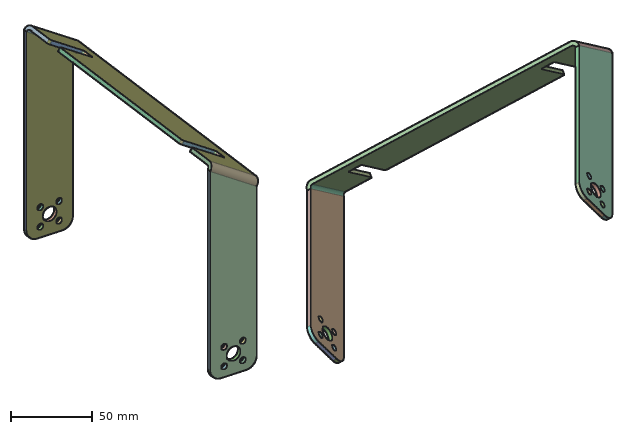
import cadquery as cq
import math

length = 209.1
height = 153.7
leg_width = 34.3

thickness = 3.0
outer_bend = 5.0
inner_bend = outer_bend - thickness
slope_angle = 32.0
slope = math.radians(slope_angle)
web_width = leg_width / math.cos(slope)

bend_line_front = height - outer_bend * math.cos(slope)
bend_line_back = bend_line_front - leg_width * math.tan(slope)
leg_corner_radius = 8.0

hole_center_y = leg_width / 2
hole_center_z = 14.6
center_hole_diameter = 10.0
screw_hole_diameter = 4.2
screw_spacing = 13.8

slot_width = 10.0
slot_depth = 29.3
slot_center_x = 74.0
slot_mouth_radius = 1.5
slot_inner_radius = 1.0


def make_leg(outer_x):
    """Upright leg with a sloping top, reaching inward (+X) from outer_x."""
    blank = (
        cq.Workplane("YZ", origin=(outer_x, 0, 0))
        .polyline([(0, 0), (leg_width, 0), (leg_width, bend_line_back), (0, bend_line_front)])
        .close()
        .extrude(thickness)
    )
    blank = blank.edges("|X and (<Z)").fillet(leg_corner_radius)
    holes = cq.Workplane("YZ", origin=(outer_x, hole_center_y, hole_center_z))
    center_hole = holes.circle(center_hole_diameter / 2).extrude(thickness)
    screw_holes = (
        holes.rect(screw_spacing, screw_spacing, forConstruction=True)
        .vertices()
        .circle(screw_hole_diameter / 2)
        .extrude(thickness)
    )
    return blank.cut(center_hole).cut(screw_holes)


def make_web():
    """Web with both bends, drawn flat: bend lines at z = 0, front edge at y = 0."""
    half = length / 2
    flat_half = half - outer_bend
    diagonal = math.sqrt(0.5)
    outer_mid = outer_bend * diagonal
    inner_mid = inner_bend * diagonal
    return (
        cq.Workplane("XZ")
        .moveTo(-half, 0)
        .threePointArc((-flat_half - outer_mid, outer_mid), (-flat_half, outer_bend))
        .lineTo(flat_half, outer_bend)
        .threePointArc((flat_half + outer_mid, outer_mid), (half, 0))
        .lineTo(half - thickness, 0)
        .threePointArc((flat_half + inner_mid, inner_mid), (flat_half, inner_bend))
        .lineTo(-flat_half, inner_bend)
        .threePointArc((-flat_half - inner_mid, inner_mid), (-half + thickness, 0))
        .close()
        .extrude(-web_width)
    )


def make_slot(center_x):
    """Slot cutter with rounded inner corners and a rounded, flared mouth."""
    half = slot_width / 2
    flared = half + slot_mouth_radius
    mouth_bulge = slot_mouth_radius * (1 - math.sqrt(0.5))
    mouth = (
        cq.Workplane("XY", origin=(center_x, 0, inner_bend))
        .moveTo(-flared, 0)
        .lineTo(flared, 0)
        .threePointArc((half + mouth_bulge, mouth_bulge), (half, slot_mouth_radius))
        .lineTo(-half, slot_mouth_radius)
        .threePointArc((-half - mouth_bulge, mouth_bulge), (-flared, 0))
        .close()
        .extrude(thickness)
    )
    channel = (
        cq.Workplane("XY", origin=(center_x, slot_depth / 2, inner_bend))
        .rect(slot_width, slot_depth)
        .extrude(thickness)
        .edges("|Z and >Y")
        .fillet(slot_inner_radius)
    )
    return channel.union(mouth)


web = make_web()
for slot_x in (-slot_center_x, slot_center_x):
    web = web.cut(make_slot(slot_x))

web = web.rotate((0, 0, 0), (1, 0, 0), -slope_angle).translate((0, 0, bend_line_front))

result = web
for leg_x in (-length / 2, length / 2 - thickness):
    result = result.union(make_leg(leg_x))